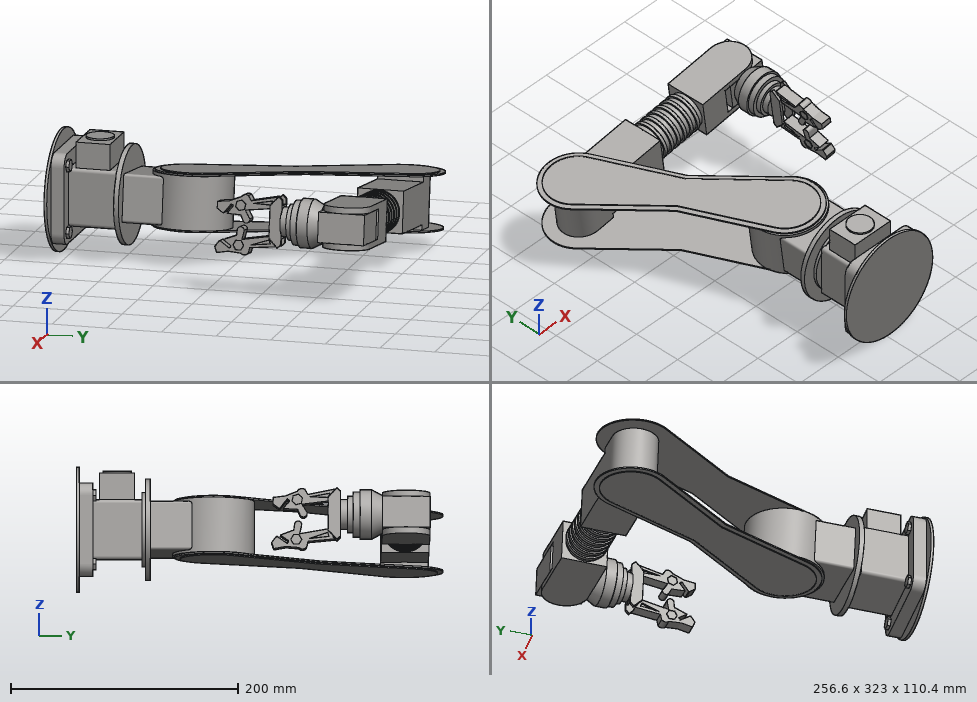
import cadquery as cq
import math


waist_angle = 7.5
forearm_angle = 0.5
elbow_x = -95.3
overall_length = 323.0

foot_radius = 55.2
foot_height = 2.5
flange_half = 41.5
flange_top = 14.5
flange_corner = 11.0
bolt_radius = 5.8
bolt_height = 3.0
column_half = 26.5
column_corner = 3.2
column_top = 57.8
connector_width = 45.2
connector_low = 20.5
connector_high = 51.5
connector_top = 50.0
cap_radius = 12.5
cap_height = 1.5

collar_radius = 33.0
collar_height = 3.0
turntable_radius = 45.0
turntable_height = 4.5
shoulder_y = 120.8
shoulder_radius = 36.2
neck_half_width = 30.7
neck_half_height = 21.5
neck_corner = 2.3

arm_mid_z = 0.3
plate_gap_half = 24.2
plate_thickness = 1.3
cover_thickness = 1.0
plate_radius = 34.2
waist_half_width = 21.5
cover_inset = 5.0
elbow_y = overall_length - plate_radius

elbow_radius = 21.0
elbow_block_end = 20.5
forearm_half_height = 19.0
forearm_end = 87.0

sleeve_radius = 17.8
ring_radius = 19.5
ring_width = 3.2
ring_pitch = 8.5
ring_count = 6
first_ring = 93.7
fork_start = 142.0
fork_slot_start = 170.5
fork_slot_half = 13.5
wrist_x = 197.7

wrist_block_half = 20.7
cone_radius = 16.8
cone_length = 9.7
flange_steps = [(22.0, 10.0), (20.0, 6.0), (16.0, 5.0), (13.2, 6.0)]
palm_half_width = 8.0
palm_back_thickness = 1.5
palm_back_half = 15.0
palm_depth = 11.0
palm_shoulder_half = 19.7
palm_tip_half = 23.0
palm_tip_depth = 3.2

finger_width = 11.0
pivot_depth = 4.0
pivot_half = 20.7
finger_closings = [(1, 17.0), (-1, 0.0)]
notch_length = 11.0
notch_width = 2.5
recess_depth = 1.5
notch_angle = -35.0
notch_forward = 47.2
notch_outward = 1.3
pin_forward = 35.2
pin_outward = 2.3
pin_radius = 5.0
pin_height = 0.5

palm_y = -elbow_radius - cone_length - sum(length for _, length in flange_steps)


def drum(radius, low, height):
    """Cylinder along Y on the base axis, starting at y = low."""
    return cq.Workplane("XZ", origin=(0, low, 0)).circle(radius).extrude(-height)


def post(half_x, half_z, corner, low, height):
    """Block along Y on the base axis with rounded long edges."""
    block = cq.Workplane("XZ", origin=(0, low, 0)).rect(2 * half_x, 2 * half_z).extrude(-height)
    return block.edges("|Y").fillet(corner)


def slab(x_low, x_high, half_y, half_z):
    """Block centred on Y and Z between two X positions."""
    block = cq.Workplane("XY").box(x_high - x_low, 2 * half_y, 2 * half_z)
    return block.translate(((x_low + x_high) / 2, 0, 0))


def barrel_between_plates(radius):
    """Cylinder along Z that fills the gap between the arm plates."""
    bottom = cq.Workplane("XY", origin=(0, 0, -plate_gap_half))
    return bottom.circle(radius).extrude(2 * plate_gap_half)


def turn_with_waist(body):
    return body.rotate((0, 0, 0), (0, 1, 0), -waist_angle)


def place_on_elbow(body):
    lifted = body.rotate((0, 0, 0), (0, 0, 1), forearm_angle)
    return turn_with_waist(lifted.translate((elbow_x, elbow_y, 0)))


def make_base():
    flange_height = flange_top - foot_height
    base = drum(foot_radius, 0, foot_height)
    base = base.union(post(flange_half, flange_half, flange_corner, foot_height, flange_height))
    base = base.union(post(column_half, column_half, column_corner, flange_top, column_top - flange_top))

    bolt_spacing = 2 * (flange_half - flange_corner)
    bolts = (
        cq.Workplane("XZ", origin=(0, flange_top, 0))
        .rect(bolt_spacing, bolt_spacing, forConstruction=True)
        .vertices()
        .polygon(6, 2 * bolt_radius)
        .extrude(-bolt_height)
    )

    connector_y = (connector_low + connector_high) / 2
    connector = (
        cq.Workplane("XY", origin=(0, connector_y, 0))
        .rect(connector_width, connector_high - connector_low)
        .extrude(connector_top)
        .faces(">Z").workplane()
        .circle(cap_radius)
        .extrude(cap_height)
    )
    return base.union(bolts).union(connector)


def make_shoulder():
    turntable_low = column_top + collar_height
    neck_low = turntable_low + turntable_height
    shoulder = drum(collar_radius, column_top, collar_height)
    shoulder = shoulder.union(drum(turntable_radius, turntable_low, turntable_height))
    neck = post(neck_half_width, neck_half_height, neck_corner, neck_low, shoulder_y - neck_low)
    barrel = barrel_between_plates(shoulder_radius).translate((0, shoulder_y, arm_mid_z))
    return turn_with_waist(shoulder.union(neck).union(barrel))


def waisted_outline(plane, length, end_radius, half_width):
    """Two round ends joined by tangent lines that meet at a narrow waist halfway along X."""
    half = length / 2
    reach = math.hypot(half, half_width)
    angle = math.atan2(half_width, half) + math.acos(end_radius / reach)
    touch_x = end_radius * math.cos(angle)
    touch_y = end_radius * math.sin(angle)
    return (
        plane.moveTo(half, half_width)
        .lineTo(touch_x, touch_y)
        .threePointArc((-end_radius, 0), (touch_x, -touch_y))
        .lineTo(half, -half_width)
        .lineTo(length - touch_x, -touch_y)
        .threePointArc((length + end_radius, 0), (length - touch_x, touch_y))
        .close()
    )


def make_arm_plate(side):
    """Plate from shoulder to elbow with a raised cover on its outer face."""
    rise = elbow_y - shoulder_y
    length = math.hypot(elbow_x, rise)
    direction = math.degrees(math.atan2(rise, elbow_x))
    outer_face = plate_gap_half + plate_thickness
    plate = waisted_outline(
        cq.Workplane("XY", origin=(0, 0, plate_gap_half)), length, plate_radius, waist_half_width
    ).extrude(plate_thickness)
    cover = waisted_outline(
        cq.Workplane("XY", origin=(0, 0, outer_face)),
        length, plate_radius - cover_inset, waist_half_width - cover_inset,
    ).extrude(cover_thickness)
    plate = plate.union(cover)
    if side < 0:
        plate = plate.mirror("XY")
    plate = plate.rotate((0, 0, 0), (0, 0, 1), direction).translate((0, shoulder_y, arm_mid_z))
    return turn_with_waist(plate)


def make_forearm():
    barrel = barrel_between_plates(elbow_radius)
    block = slab(0, elbow_block_end, elbow_radius, plate_gap_half)
    elbow = barrel.union(block).translate((0, 0, arm_mid_z))
    beam = slab(0, forearm_end, elbow_radius, forearm_half_height)
    return place_on_elbow(elbow.union(beam))


def make_wrist_fork():
    sleeve = (
        cq.Workplane("YZ", origin=(forearm_end, 0, 0))
        .circle(sleeve_radius)
        .extrude(fork_start - forearm_end)
    )
    for index in range(ring_count):
        ring_start = first_ring + index * ring_pitch - ring_width / 2
        ring = cq.Workplane("YZ", origin=(ring_start, 0, 0)).circle(ring_radius).extrude(ring_width)
        sleeve = sleeve.union(ring)

    fork = slab(fork_start, wrist_x, elbow_radius, forearm_half_height)
    round_end = (
        cq.Workplane("XY", origin=(wrist_x, 0, 0))
        .circle(elbow_radius)
        .extrude(forearm_half_height, both=True)
    )
    slot = slab(fork_slot_start, wrist_x + 2 * elbow_radius, 2 * elbow_radius, fork_slot_half)
    return place_on_elbow(sleeve.union(fork).union(round_end).cut(slot))


def make_palm_side():
    """Side plate of the palm with a pointed ear at each end for a finger pivot."""
    front = palm_y - palm_depth
    outline = [
        (palm_y, palm_shoulder_half),
        (palm_y - palm_tip_depth, palm_tip_half),
        (front, palm_back_half),
        (front, -palm_back_half),
        (palm_y - palm_tip_depth, -palm_tip_half),
        (palm_y, -palm_shoulder_half),
    ]
    thickness = palm_half_width - finger_width / 2
    return (
        cq.Workplane("YZ", origin=(finger_width / 2, 0, 0))
        .polyline(outline).close()
        .extrude(thickness)
    )


def make_wrist_flange():
    block = slab(-wrist_block_half, wrist_block_half, elbow_radius, fork_slot_half)

    profile = [(0, -elbow_radius), (cone_radius, -elbow_radius)]
    step_y = -elbow_radius - cone_length
    for radius, length in flange_steps:
        profile.append((radius, step_y))
        step_y -= length
        profile.append((radius, step_y))
    profile.append((0, step_y))
    flange = cq.Workplane("XY").polyline(profile).close().revolve(360, (0, 0, 0), (0, 1, 0))

    back = cq.Workplane("XY").box(finger_width, palm_back_thickness, 2 * palm_back_half)
    back = back.translate((0, palm_y - palm_back_thickness / 2, 0))
    side = make_palm_side()
    palm = back.union(side).union(side.mirror("YZ"))
    return place_on_elbow(block.union(flange).union(palm).translate((wrist_x, 0, 0)))


def make_finger(side, closing):
    """Finger with a link, a humped knuckle with an inward horn, and a notched tip.

    Each flank has a wedge recess in the link and a hexagonal pin head on the knuckle.

    The profile is drawn from the pivot: first forward, then outward from the palm's middle.
    """
    finger = (
        cq.Workplane("XY", origin=(0, 0, -finger_width / 2))
        .moveTo(1.3, 1.5)
        .lineTo(25.0, 4.0)
        .lineTo(26.2, 9.0)
        .threePointArc((29.7, 10.5), (33.0, 9.5))
        .lineTo(44.3, 8.5)
        .lineTo(55.0, 10.3)
        .lineTo(57.0, 5.0)
        .lineTo(53.0, -0.3)
        .lineTo(37.5, -6.0)
        .lineTo(36.8, -11.3)
        .threePointArc((33.5, -14.2), (30.5, -11.3))
        .lineTo(32.3, -3.0)
        .lineTo(6.5, -7.5)
        .close()
        .extrude(finger_width)
    )
    notch = (
        cq.Workplane("XY")
        .center(notch_forward, notch_outward)
        .transformed(rotate=(0, 0, notch_angle))
        .rect(notch_length, notch_width)
        .extrude(finger_width, both=True)
    )
    recess = (
        cq.Workplane("XY", origin=(0, 0, finger_width / 2 - recess_depth))
        .polyline([(6.5, -0.5), (7.5, -4.2), (23.5, 1.3)]).close()
        .extrude(recess_depth)
    )
    pin_head = (
        cq.Workplane("XY", origin=(0, 0, finger_width / 2))
        .center(pin_forward, pin_outward)
        .polygon(6, 2 * pin_radius)
        .extrude(pin_height)
    )
    finger = finger.cut(notch).cut(recess).cut(recess.mirror("XY"))
    finger = finger.union(pin_head).union(pin_head.mirror("XY"))
    finger = finger.rotate((0, 0, 0), (0, 0, 1), -closing)
    finger = finger.rotate((0, 0, 0), (1, 0, 0), 90).rotate((0, 0, 0), (0, 0, 1), -90)
    if side < 0:
        finger = finger.mirror("XY")
    return place_on_elbow(finger.translate((wrist_x, palm_y - pivot_depth, side * pivot_half)))


base = make_base()
shoulder = make_shoulder()
arm_plates = [make_arm_plate(side) for side in (1, -1)]
forearm = make_forearm()
wrist_fork = make_wrist_fork()
wrist_flange = make_wrist_flange()
fingers = [make_finger(side, closing) for side, closing in finger_closings]

result = cq.Compound.makeCompound([
    base.val(),
    shoulder.val(),
    *[plate.val() for plate in arm_plates],
    forearm.val(),
    wrist_fork.val(),
    wrist_flange.val(),
    *[finger.val() for finger in fingers],
])